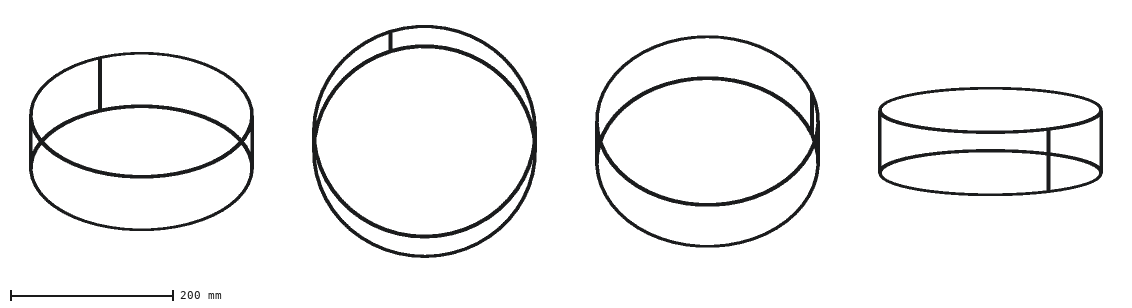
import cadquery as cq

outer_diameter = 275.0
wall_thickness = 2.5
height = 80.0
outer_bevel_height = 1.7
outer_bevel_depth = 0.62
inner_bevel = 0.4
gap_angle = 0.85

outer_radius = outer_diameter / 2
inner_radius = outer_radius - wall_thickness
rim_outer_radius = outer_radius - outer_bevel_depth
rim_inner_radius = inner_radius + inner_bevel


def wall_section():
    """Wall cross-section in the XZ plane on the -X side, bevelled at all four corners."""
    return (
        cq.Workplane("XZ")
        .moveTo(-rim_inner_radius, 0)
        .lineTo(-rim_outer_radius, 0)
        .lineTo(-outer_radius, outer_bevel_height)
        .lineTo(-outer_radius, height - outer_bevel_height)
        .lineTo(-rim_outer_radius, height)
        .lineTo(-rim_inner_radius, height)
        .lineTo(-inner_radius, height - inner_bevel)
        .lineTo(-inner_radius, inner_bevel)
        .close()
    )


def make_split_ring():
    """Sweep the wall about Z from -X towards -Y, stopping short of a full turn to leave the gap."""
    axis_start = (0, 0, 0)
    axis_end = (0, 1, 0)
    return wall_section().revolve(360.0 - gap_angle, axis_start, axis_end)


result = make_split_ring()